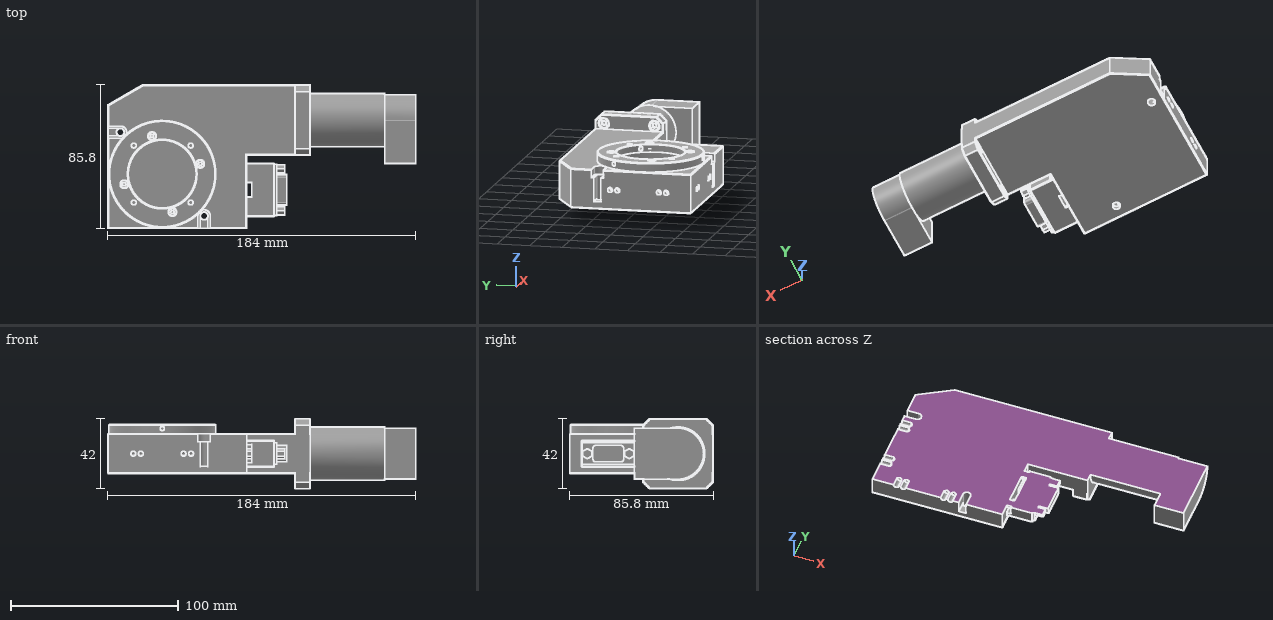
import cadquery as cq
import math


HEX_CORNERS_PER_FLATS = 1 / math.cos(math.radians(30))

DRILL_POINT_ANGLE = 118

HEX_DEPTH = 1.5

BODY_LEFT = -32.5
BODY_FRONT = -32.5
BODY_RIGHT = 50.5
BODY_BACK = BODY_FRONT + 85.75
BODY_HEIGHT = 24.0
BODY_TOP = BODY_HEIGHT / 2
CORNER_CUT_Y = 12.0
CORNER_CUT_ANGLE = 30
CORNER_CUT_X = CORNER_CUT_Y / math.tan(math.radians(CORNER_CUT_ANGLE))
EDGE_BREAK = 0.5

FLANGE_SIZE = 42.0
FLANGE_THICKNESS = 9.5
FLANGE_CORNER = 4.0
FLANGE_RIGHT = BODY_LEFT + 121.0
FLANGE_LEFT = FLANGE_RIGHT - FLANGE_THICKNESS
ARM_FRONT = BODY_BACK - FLANGE_SIZE
MOTOR_Y = BODY_BACK - FLANGE_SIZE / 2
MOTOR_DIAMETER = 32.0
MOTOR_LENGTH = 44.3
MOTOR_END = FLANGE_RIGHT + MOTOR_LENGTH
PART_RIGHT = BODY_LEFT + 184.0
COVER_WIDTH = 30.5
COVER_DROP = 26.0
FLANGE_SCREW_SPACING = 31.0
FLANGE_BORE_DIAMETER = 6.5
FLANGE_BORE_DEPTH = 5.0
FLANGE_HEAD_DIAMETER = 5.5
FLANGE_HEAD_LENGTH = 4.5
FLANGE_HEX_FLATS = 2.5

TABLE_DIAMETER = 64.0
TABLE_TOP = 17.5
TABLE_THICKNESS = TABLE_TOP - BODY_TOP
TABLE_BORE_DIAMETER = 41.0
TABLE_BORE_CHAMFER = 0.3
TABLE_BORE_CHAMFER_ANGLE = 45
TABLE_BORE_DEPTH = 4.75
RECESS_DIAMETER = 40.5
RECESS_DEPTH = 10.7
TAP_OFFSET = 17.0
TAP_DIAMETER = 2.9
TABLE_SCREW_RADIUS = 23.5
TABLE_SCREW_ANGLES = (15, 105, 195, 285)
TABLE_SCREW_BORE_DIAMETER = 5.0
TABLE_SCREW_BORE_DEPTH = 3.0
TABLE_HEAD_DIAMETER = 4.5
TABLE_HEAD_LENGTH = 2.5
TABLE_HEX_FLATS = 2.0
RADIAL_HOLE_DIAMETER = 2.5
RADIAL_HOLE_Z = 15.0
RADIAL_HOLE_ANGLES = (30, 150, 270)

MOUNT_OFFSET = 25.0
MOUNT_HOLE_DIAMETER = 4.5
MOUNT_HEAD_WIDTH = 7.4
MOUNT_HEAD_DEPTH = 5.0
MOUNT_SLOT_DEPTH = 19.5
SIDE_HOLE_DIAMETER = 2.9
SIDE_HOLE_DEPTH = 6.0
SIDE_HOLE_OFFSETS = (-17.25, -12.75, 12.75, 17.25)

PLUG_Y = BODY_FRONT + 23.1
PLUG_BOX_END = BODY_RIGHT + 16.5
PLUG_BOX_WIDTH = 32.0
PLUG_BOX_HEIGHT = 16.0
PLUG_WINDOW_LENGTH = 2.8
PLUG_WINDOW_WIDTH = 8.5
PLUG_WINDOW_HEIGHT = 10.8
PLATE_END = PLUG_BOX_END + 1.4
PLATE_WIDTH = 30.8
PLATE_HEIGHT = 12.8
SHELL_LENGTH = 6.0
SHELL_WIDTH = 18.3
SHELL_HEIGHT = 9.9
SHELL_CORNER = 1.7
NUT_FLATS = 5.2
NUT_CORNERS = NUT_FLATS * HEX_CORNERS_PER_FLATS
NUT_LENGTH = 4.8
NUT_SPACING = 25.0
NUT_TURN = 30


def box(x_range, y_range, z_range):
    """Box spanning the given (low, high) pairs."""
    sizes = [high - low for low, high in (x_range, y_range, z_range)]
    corner = (x_range[0], y_range[0], z_range[0])
    return cq.Workplane("XY").box(*sizes, centered=False).translate(corner)


def about(middle, size):
    """(low, high) pair of a length centred on a point."""
    return (middle - size / 2, middle + size / 2)


def along_x(x):
    """YZ workplane at the given X, extruding toward +X."""
    return cq.Workplane("YZ", origin=(x, 0, 0))


def make_housing():
    outline = [
        (BODY_LEFT, BODY_FRONT),
        (BODY_RIGHT, BODY_FRONT),
        (BODY_RIGHT, ARM_FRONT),
        (FLANGE_RIGHT, ARM_FRONT),
        (FLANGE_RIGHT, BODY_BACK),
        (BODY_LEFT + CORNER_CUT_X, BODY_BACK),
        (BODY_LEFT, BODY_BACK - CORNER_CUT_Y),
    ]
    slab = cq.Workplane("XY").workplane(offset=-BODY_TOP).polyline(outline).close().extrude(BODY_HEIGHT)
    return slab.faces("<Z or >Z").chamfer(EDGE_BREAK)


def make_flange():
    flange = along_x(FLANGE_LEFT).center(MOTOR_Y, 0).rect(FLANGE_SIZE, FLANGE_SIZE).extrude(FLANGE_THICKNESS)
    flange = flange.edges("|X").chamfer(FLANGE_CORNER)
    return flange.faces("<X or >X").chamfer(EDGE_BREAK)


def drill_tip(radius):
    """Height of the conical end left by a drill."""
    return radius / math.tan(math.radians(DRILL_POINT_ANGLE / 2))


def make_drilling(radius, depth):
    """Drilled hole with a conical end, running from the origin toward -Z."""
    profile = [(0, 0), (radius, 0), (radius, -depth), (0, -depth - drill_tip(radius))]
    return cq.Workplane("XZ").polyline(profile).close().revolve(360, (0, 0, 0), (0, 1, 0))


def make_screw_bore(bore_diameter, bore_depth):
    """Counterbore from the origin toward -Z."""
    return cq.Workplane("XY").circle(bore_diameter / 2).extrude(-bore_depth)


def make_screw_head(head_diameter, head_length, hex_flats):
    """Cap screw head standing on the origin, with a drilled hexagon socket in its top."""
    head = cq.Workplane("XY").circle(head_diameter / 2).extrude(head_length)
    top = cq.Workplane("XY").workplane(offset=head_length)
    head = head.cut(top.polygon(6, hex_flats * HEX_CORNERS_PER_FLATS).extrude(-HEX_DEPTH))
    return head.cut(make_drilling(hex_flats / 2, HEX_DEPTH).translate((0, 0, head_length)))


def add_flange_screws(part):
    """Counterbored socket-head screws facing -X at the flange corners."""
    bore = make_screw_bore(FLANGE_BORE_DIAMETER, FLANGE_BORE_DEPTH)
    head = make_screw_head(FLANGE_HEAD_DIAMETER, FLANGE_HEAD_LENGTH, FLANGE_HEX_FLATS)
    bore = bore.rotate((0, 0, 0), (0, 1, 0), -90)
    head = head.rotate((0, 0, 0), (0, 1, 0), -90)
    for y in about(MOTOR_Y, FLANGE_SCREW_SPACING):
        for z in about(0, FLANGE_SCREW_SPACING):
            part = part.cut(bore.translate((FLANGE_LEFT, y, z)))
            part = part.union(head.translate((FLANGE_LEFT + FLANGE_BORE_DEPTH, y, z)))
    return part


def make_motor():
    """Round motor with an end cover: half round at the back, square toward -Y."""
    motor = along_x(FLANGE_RIGHT).center(MOTOR_Y, 0).circle(MOTOR_DIAMETER / 2).extrude(MOTOR_LENGTH)
    half = COVER_WIDTH / 2
    cover = (
        along_x(MOTOR_END)
        .moveTo(MOTOR_Y - COVER_DROP, -half)
        .lineTo(MOTOR_Y, -half)
        .threePointArc((MOTOR_Y + half, 0), (MOTOR_Y, half))
        .lineTo(MOTOR_Y - COVER_DROP, half)
        .close()
        .extrude(PART_RIGHT - MOTOR_END)
    )
    return motor.union(cover)


def make_table():
    table = cq.Workplane("XY").workplane(offset=BODY_TOP).circle(TABLE_DIAMETER / 2).extrude(TABLE_THICKNESS)
    return table.faces(">Z").chamfer(EDGE_BREAK)


def cut_table_holes(part):
    top = cq.Workplane("XY").workplane(offset=TABLE_TOP)
    mouth = TABLE_BORE_DIAMETER / 2 + TABLE_BORE_CHAMFER
    part = part.cut(top.circle(RECESS_DIAMETER / 2).extrude(-RECESS_DEPTH))
    part = part.cut(top.circle(TABLE_BORE_DIAMETER / 2).extrude(-TABLE_BORE_DEPTH))
    part = part.cut(top.circle(mouth).extrude(-TABLE_BORE_CHAMFER, taper=TABLE_BORE_CHAMFER_ANGLE))
    taps = top.rect(2 * TAP_OFFSET, 2 * TAP_OFFSET, forConstruction=True).vertices()
    part = part.cut(taps.circle(TAP_DIAMETER / 2).extrude(-TABLE_THICKNESS))
    for angle in RADIAL_HOLE_ANGLES:
        drill = along_x(0).center(0, RADIAL_HOLE_Z).circle(RADIAL_HOLE_DIAMETER / 2).extrude(TABLE_DIAMETER)
        part = part.cut(drill.rotate((0, 0, 0), (0, 0, 1), angle))
    return part


def add_table_screws(part):
    """Counterbored socket-head screws around the table."""
    bore = make_screw_bore(TABLE_SCREW_BORE_DIAMETER, TABLE_SCREW_BORE_DEPTH)
    head = make_screw_head(TABLE_HEAD_DIAMETER, TABLE_HEAD_LENGTH, TABLE_HEX_FLATS)
    for angle in TABLE_SCREW_ANGLES:
        x = TABLE_SCREW_RADIUS * math.cos(math.radians(angle))
        y = TABLE_SCREW_RADIUS * math.sin(math.radians(angle))
        part = part.cut(bore.translate((x, y, TABLE_TOP)))
        part = part.union(head.translate((x, y, TABLE_TOP - TABLE_SCREW_BORE_DEPTH)))
    return part


def make_mount_cutter():
    """Stepped slot opening through the -Y side, with a through hole at its round end."""
    def open_slot(width, depth):
        x_range = about(MOUNT_OFFSET, width)
        run = box(x_range, (BODY_FRONT, -MOUNT_OFFSET), (BODY_TOP - depth, BODY_TOP))
        plane = cq.Workplane("XY", origin=(MOUNT_OFFSET, -MOUNT_OFFSET, BODY_TOP))
        return run.union(plane.circle(width / 2).extrude(-depth))

    cutter = open_slot(MOUNT_HEAD_WIDTH, MOUNT_HEAD_DEPTH)
    cutter = cutter.union(open_slot(MOUNT_HOLE_DIAMETER, MOUNT_SLOT_DEPTH))
    hole = cq.Workplane("XY", origin=(MOUNT_OFFSET, -MOUNT_OFFSET, BODY_TOP))
    return cutter.union(hole.circle(MOUNT_HOLE_DIAMETER / 2).extrude(-BODY_HEIGHT))


def mirror_diagonal(shape):
    """Swap the -Y side features onto the -X side, mirroring across the line Y = X."""
    return shape.mirror("XZ").rotate((0, 0, 0), (0, 0, 1), 90)


def make_side_holes():
    """Row of drilled holes with conical ends in the -Y side."""
    drill = make_drilling(SIDE_HOLE_DIAMETER / 2, SIDE_HOLE_DEPTH).rotate((0, 0, 0), (1, 0, 0), 90)
    holes = cq.Workplane("XY")
    for x in SIDE_HOLE_OFFSETS:
        holes = holes.add(drill.translate((x, BODY_FRONT, 0)))
    return holes.combine()


def make_connector():
    width = about(PLUG_Y, PLUG_BOX_WIDTH)
    height = about(0, PLUG_BOX_HEIGHT)
    case = box((BODY_RIGHT, PLUG_BOX_END), width, height).edges("|X or >X").chamfer(EDGE_BREAK)
    window_x = (BODY_RIGHT, BODY_RIGHT + PLUG_WINDOW_LENGTH)
    case = case.cut(box(window_x, about(PLUG_Y, PLUG_WINDOW_WIDTH), height))
    case = case.cut(box(window_x, width, about(0, PLUG_WINDOW_HEIGHT)))

    plate = box((PLUG_BOX_END, PLATE_END), about(PLUG_Y, PLATE_WIDTH), about(0, PLATE_HEIGHT))
    shell = box((PLATE_END, PLATE_END + SHELL_LENGTH), about(PLUG_Y, SHELL_WIDTH), about(0, SHELL_HEIGHT))
    connector = case.union(plate).union(shell.edges("|X").fillet(SHELL_CORNER))
    for side in (-1, 1):
        nut_y = PLUG_Y + side * NUT_SPACING / 2
        front_nut = along_x(PLATE_END).center(nut_y, 0).polygon(6, NUT_CORNERS).extrude(NUT_LENGTH)
        rear_nut = along_x(BODY_RIGHT).center(nut_y, 0).polygon(6, NUT_CORNERS).extrude(PLUG_WINDOW_LENGTH)
        turn = ((0, nut_y, 0), (1, nut_y, 0), NUT_TURN)
        connector = connector.union(front_nut.rotate(*turn)).union(rear_nut.rotate(*turn))
    return connector


result = make_housing().union(make_flange())
for cutter in (make_mount_cutter(), make_side_holes()):
    result = result.cut(cutter).cut(mirror_diagonal(cutter))
result = add_flange_screws(result)
result = result.union(make_motor()).union(make_connector()).union(make_table())
result = cut_table_holes(result)
result = add_table_screws(result)